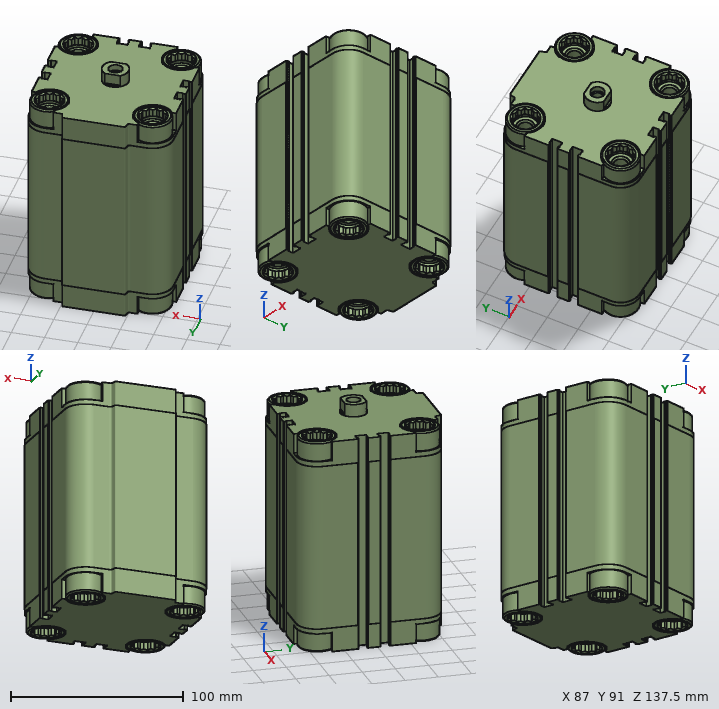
import cadquery as cq
import math

HOUSING_WIDTH = 87.0
HOUSING_LENGTH = 130.0
HALF_WIDTH = HOUSING_WIDTH / 2
CORNER_RADIUS = 12.6

CAP_LENGTH = 14.7
CAP_INSET = 0.1

RIB_HEIGHT = 4.0
RIB_TOP_WIDTH = 38.0
RIB_BASE_WIDTH = 39.9
RIB_TOP_RADIUS = 0.5
CAP_RIB_FOOT_RADIUS = 0.7
TUBE_RIB_FOOT_RADIUS = 1.4

SLOT_SPACING = 13.3
SLOT_WIDTH = 6.6
SLOT_DEPTH = 5.5
SLOT_MOUTH_WIDTH = 5.4
SLOT_LIP_THICKNESS = 2.0
SLOT_LIP_CHAMFER = 0.5

SCREW_SPACING = 62.0
POCKET_SIDE = 18.3
POCKET_DEPTH = 11.7
HEAD_DIAMETER = 23.0
HEAD_CHAMFER = 1.0
SOCKET_MOUTH_DIAMETER = 17.7
SOCKET_MOUTH_END_DIAMETER = 14.7
SOCKET_MOUTH_DEPTH = 1.1
SOCKET_TIP_DIAMETER = 16.5
SOCKET_STAR_DEPTH = 5.5
SOCKET_BORE_DIAMETER = 15.4
SOCKET_DEPTH = 7.3
SCREW_HOLE_DIAMETER = 8.5
SCREW_HOLE_MOUTH_DIAMETER = 10.7
SCREW_HOLE_CHAMFER = (SCREW_HOLE_MOUTH_DIAMETER - SCREW_HOLE_DIAMETER) / 2

OVERALL_LENGTH = 137.5
ROD_DIAMETER = 16.0
ROD_INSERTION = CAP_LENGTH
ROD_BOTTOM = HOUSING_LENGTH - ROD_INSERTION
ROD_FLATS_WIDTH = 13.0
ROD_FLATS_LENGTH = 6.6
ROD_HOLE_DIAMETER = 6.6
ROD_HOLE_MOUTH_DIAMETER = 8.4
ROD_HOLE_MOUTH_DEPTH = 3.7
ROD_HOLE_DEPTH = 16.5
DRILL_POINT_ANGLE = 118.0
DRILL_POINT_SLOPE = math.tan(math.radians(DRILL_POINT_ANGLE / 2))


def cylinder(diameter, bottom, top):
    return cq.Workplane("XY").workplane(offset=bottom).circle(diameter / 2).extrude(top - bottom)


def cone_frustum(top, top_diameter, bottom, bottom_diameter):
    cone = cq.Solid.makeCone(bottom_diameter / 2, top_diameter / 2, top - bottom, cq.Vector(0, 0, bottom))
    return cq.Workplane(cone)


def profile_section(bottom, top, inset, rib_foot_radius):
    """Stretch of the housing between two heights: rounded square with the +Y rib."""
    length = top - bottom
    half_side = HALF_WIDTH - inset
    crest_y = half_side + RIB_HEIGHT
    square = (
        cq.Workplane("XY").workplane(offset=bottom)
        .rect(2 * half_side, 2 * half_side).extrude(length)
        .edges("|Z").fillet(CORNER_RADIUS - inset)
    )
    half_crest = RIB_TOP_WIDTH / 2 - inset
    half_base = RIB_BASE_WIDTH / 2 - inset
    rib_outline = [
        (-half_base, half_side),
        (-half_crest, crest_y),
        (half_crest, crest_y),
        (half_base, half_side),
        (half_base, 0),
        (-half_base, 0),
    ]
    rib = cq.Workplane("XY").workplane(offset=bottom).polyline(rib_outline).close().extrude(length)
    section = square.union(rib)

    middle = (bottom + top) / 2
    for side in (-1, 1):
        foot = cq.selectors.NearestToPointSelector((side * half_base, half_side, middle))
        section = section.edges(foot).fillet(rib_foot_radius)
        crest = cq.selectors.NearestToPointSelector((side * half_crest, crest_y, middle))
        section = section.edges(crest).fillet(RIB_TOP_RADIUS)
    return section


def lipped_slot():
    """Full-length slot in the -Y side, centred on X = 0, with chamfered lips at its mouth."""
    half_mouth = SLOT_MOUTH_WIDTH / 2
    half_slot = SLOT_WIDTH / 2
    flare = half_mouth + SLOT_LIP_CHAMFER
    outside = -HALF_WIDTH
    lip_start = outside + SLOT_LIP_CHAMFER
    lip_end = outside + SLOT_LIP_THICKNESS
    floor = outside + SLOT_DEPTH
    half_outline = [
        (flare, outside),
        (half_mouth, lip_start),
        (half_mouth, lip_end),
        (half_slot, lip_end),
        (half_slot, floor),
    ]
    mirrored_half = [(-x, y) for x, y in reversed(half_outline)]
    return cq.Workplane("XY").polyline(half_outline + mirrored_half).close().extrude(HOUSING_LENGTH)


def cut_slots(housing):
    """Two parallel slots in each slotted side."""
    for side_angle in (-90, 0, 90):
        for offset in (-SLOT_SPACING / 2, SLOT_SPACING / 2):
            slot = lipped_slot().translate((offset, 0, 0)).rotate((0, 0, 0), (0, 0, 1), side_angle)
            housing = housing.cut(slot, clean=False)
    return housing


def corner_pocket():
    """Square pocket around a screw head; the head lies on the Z axis and ends at Z = 0."""
    to_outside = HALF_WIDTH - SCREW_SPACING / 2
    center = to_outside - POCKET_SIDE / 2
    pocket = (
        cq.Workplane("XY").workplane(offset=-POCKET_DEPTH)
        .center(center, center).rect(POCKET_SIDE, POCKET_SIDE).extrude(POCKET_DEPTH)
    )
    head = cylinder(HEAD_DIAMETER, -POCKET_DEPTH, 0)
    return pocket.cut(head)


def head_chamfer_ring():
    """Bevel around the rim of the screw head, which is also a groove in the end face."""
    rim = cylinder(HEAD_DIAMETER, -HEAD_CHAMFER, 0)
    bevel = cone_frustum(0, HEAD_DIAMETER - 2 * HEAD_CHAMFER, -HEAD_CHAMFER, HEAD_DIAMETER)
    return rim.cut(bevel)


def head_socket():
    """Twelve-point socket with a conical mouth, a round relief below and the screw hole's chamfer."""
    socket = cone_frustum(0, SOCKET_MOUTH_DIAMETER, -SOCKET_MOUTH_DEPTH, SOCKET_MOUTH_END_DIAMETER)
    for turn in (0, 30):
        hexagon = (
            cq.Workplane("XY").workplane(offset=-SOCKET_STAR_DEPTH)
            .polygon(6, SOCKET_TIP_DIAMETER).extrude(SOCKET_STAR_DEPTH)
            .rotate((0, 0, 0), (0, 0, 1), turn)
        )
        socket = socket.union(hexagon)
    socket = socket.union(cylinder(SOCKET_BORE_DIAMETER, -SOCKET_DEPTH, -SOCKET_STAR_DEPTH))
    return socket.union(
        cone_frustum(
            -SOCKET_DEPTH, SCREW_HOLE_MOUTH_DIAMETER,
            -SOCKET_DEPTH - SCREW_HOLE_CHAMFER, SCREW_HOLE_DIAMETER,
        )
    )


def cut_screws(housing):
    """Screw heads at both ends of the four corners, and the holes that join them."""
    end_cut = corner_pocket().union(head_chamfer_ring()).union(head_socket())
    top_cut = end_cut.translate((0, 0, HOUSING_LENGTH))
    screw_cut = top_cut.union(top_cut.mirror("XY", (0, 0, HOUSING_LENGTH / 2)))
    screw_cut = screw_cut.union(cylinder(SCREW_HOLE_DIAMETER, 0, HOUSING_LENGTH))
    screw_cut = screw_cut.translate((SCREW_SPACING / 2, SCREW_SPACING / 2, 0))
    for corner in range(4):
        housing = housing.cut(screw_cut.rotate((0, 0, 0), (0, 0, 1), 90 * corner), clean=False)
    return housing


def make_housing():
    """Tube with its two end caps, slots, screws and the bore that holds the rod."""
    tube_top = HOUSING_LENGTH - CAP_LENGTH
    housing = profile_section(0, CAP_LENGTH, CAP_INSET, CAP_RIB_FOOT_RADIUS)
    housing = housing.union(profile_section(CAP_LENGTH, tube_top, 0, TUBE_RIB_FOOT_RADIUS))
    housing = housing.union(profile_section(tube_top, HOUSING_LENGTH, CAP_INSET, CAP_RIB_FOOT_RADIUS))
    housing = cut_slots(housing)
    housing = cut_screws(housing)
    return housing.cut(cylinder(ROD_DIAMETER, ROD_BOTTOM, HOUSING_LENGTH), clean=False)


def make_rod():
    """Piston rod with two wrench flats and a stepped blind hole in its end."""
    rod = cylinder(ROD_DIAMETER, ROD_BOTTOM, OVERALL_LENGTH)
    flats_bottom = OVERALL_LENGTH - ROD_FLATS_LENGTH
    for side in (-1, 1):
        flat = (
            cq.Workplane("XY").workplane(offset=flats_bottom)
            .center(0, side * (ROD_FLATS_WIDTH + ROD_DIAMETER) / 2)
            .rect(ROD_DIAMETER, ROD_DIAMETER).extrude(ROD_FLATS_LENGTH)
        )
        rod = rod.cut(flat)

    hole_bottom = OVERALL_LENGTH - ROD_HOLE_DEPTH
    point_length = ROD_HOLE_DIAMETER / 2 / DRILL_POINT_SLOPE
    rod = rod.cut(cylinder(ROD_HOLE_DIAMETER, hole_bottom, OVERALL_LENGTH))
    rod = rod.cut(cone_frustum(hole_bottom, ROD_HOLE_DIAMETER, hole_bottom - point_length, 0))
    step_length = (ROD_HOLE_MOUTH_DIAMETER - ROD_HOLE_DIAMETER) / 2 / DRILL_POINT_SLOPE
    mouth_bottom = OVERALL_LENGTH - ROD_HOLE_MOUTH_DEPTH
    rod = rod.cut(cylinder(ROD_HOLE_MOUTH_DIAMETER, mouth_bottom, OVERALL_LENGTH))
    return rod.cut(
        cone_frustum(
            mouth_bottom, ROD_HOLE_MOUTH_DIAMETER,
            mouth_bottom - step_length, ROD_HOLE_DIAMETER,
        )
    )


housing = make_housing()
rod = make_rod()
result = cq.Compound.makeCompound([housing.val(), rod.val()])